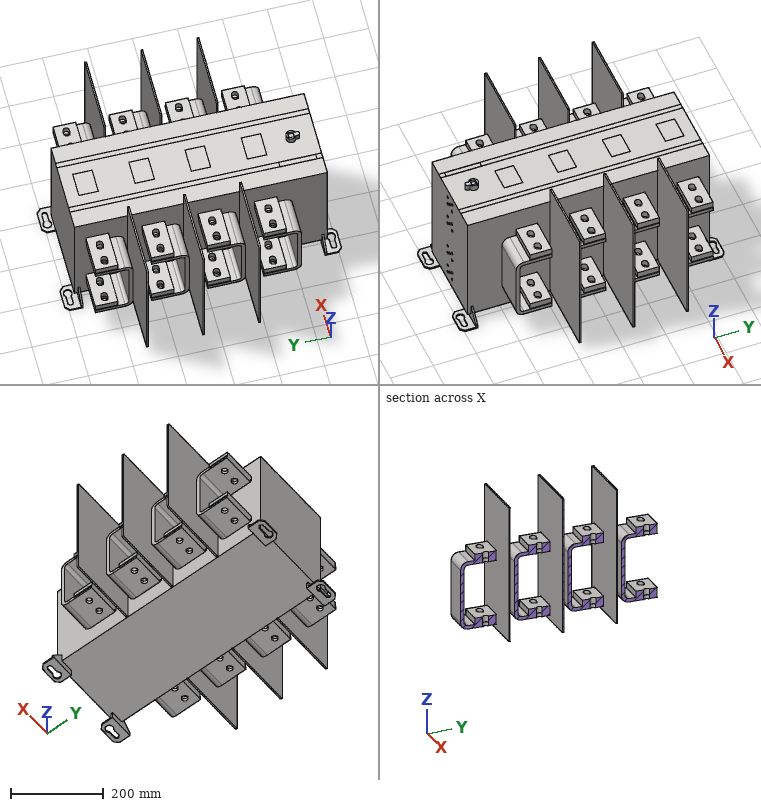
import cadquery as cq

total_length = 615.0
total_width = 546.0
total_height = 335.0

body_width = 205.5
body_length = 563.0
body_bottom = 19.0
body_top = 295.0

pole_count = 4
pole_pitch = 125.0
first_pole_y = -144.0
pole_ys = [first_pole_y + i * pole_pitch for i in range(pole_count)]

block_length = 50.5
block_height = 15.0
block_outer_x = 186.0
block_slot_length = 19.5
block_slot_x = [127.0, 166.5]
bolt_hole_diameter = 14.0
bolt_hole_x = [130.0, 163.5]
strap_outer_x = 187.5
strap_inner_x = 106.5
strap_bottom = 64.5
strap_top = 225.0
strap_thickness = 9.0
strap_reach = 83.5
strap_outer_radius = 18.0

barrier_thickness = 3.5
barrier_offset = 56.0
barrier_corner = 3.5

foot_inner_x = 71.0
foot_outer_x = 131.0
foot_thickness = 4.0
foot_leg_inner_y = 269.0
foot_leg_top = 41.0
foot_edge_height = 10.0
foot_corner = 9.0
keyhole_x = 90.0
keyhole_y = 293.0
keyhole_diameter = 18.5
keyhole_slot_end_x = 120.0
keyhole_slot_width = 11.5

shaft_y = -226.5
shaft_diameter = 21.5
shaft_top = 310.0
pointer_tip_y = -245.5
pointer_width = 10.0
socket_width = 13.0
socket_length = 11.5
socket_depth = 6.0

mark_depth = 0.5
window_width = 55.0
window_length = 43.0
rail_inner_x = 51.5
rail_outer_x = 63.5
label_ends_y = (-268.0, -186.0)
label_depth = 1.0

pin_width = 5.0
pin_height = 3.0
pin_depth = 3.5
pin_offset_x = 12.0
pin_offset_z = 10.5
pin_group_zs = [51.5, 111.5, 202.5, 262.0]


def box(x_range, y_range, z_range):
    """Axis-aligned box between the given pairs of coordinates."""
    (x0, x1), (y0, y1), (z0, z1) = x_range, y_range, z_range
    return cq.Workplane("XY").box(x1 - x0, y1 - y0, z1 - z0, centered=False).translate((x0, y0, z0))


def on_both_sides(solid):
    """The solid together with its mirror image across the YZ plane."""
    return solid.union(solid.mirror("YZ"))


def make_body():
    """Plain rectangular housing."""
    return box(
        (-body_width / 2, body_width / 2), (-body_length / 2, body_length / 2), (body_bottom, body_top)
    )


def make_strap(back_y):
    """U-shaped strap whose open ends lie at back_y and whose web faces -Y."""
    front_y = back_y - strap_reach
    inner_radius = strap_outer_radius - strap_thickness
    outer = box(
        (strap_inner_x, strap_outer_x), (front_y, back_y + strap_reach), (strap_bottom, strap_top)
    ).edges("|X").fillet(strap_outer_radius)
    inner = box(
        (strap_inner_x, strap_outer_x),
        (front_y + strap_thickness, back_y + strap_reach - strap_thickness),
        (strap_bottom + strap_thickness, strap_top - strap_thickness),
    ).edges("|X").fillet(inner_radius)
    front_half = box((strap_inner_x, strap_outer_x), (front_y, back_y), (strap_bottom, strap_top))
    return outer.cut(inner).intersect(front_half)


def make_terminal(pole_y):
    """Upper and lower terminal blocks of one pole joined by their strap, on both sides of the body."""
    back_y = pole_y + block_length / 2
    strap_holes = (
        cq.Workplane("XY")
        .pushPoints([(x, pole_y) for x in bolt_hole_x])
        .circle(bolt_hole_diameter / 2)
        .extrude(total_height)
    )
    block_slots = (
        cq.Workplane("XY")
        .pushPoints([(x, pole_y) for x in block_slot_x])
        .slot2D(block_slot_length, bolt_hole_diameter)
        .extrude(total_height)
    )
    terminal = make_strap(back_y).cut(strap_holes)
    for block_bottom in (strap_bottom + strap_thickness, strap_top):
        block = box(
            (body_width / 2, block_outer_x),
            (pole_y - block_length / 2, back_y),
            (block_bottom, block_bottom + block_height),
        )
        terminal = terminal.union(block.cut(block_slots))
    return on_both_sides(terminal)


def make_barrier(y):
    """Pair of thin insulating plates with rounded corners, one on each side of the body."""
    plate = box(
        (body_width / 2, total_width / 2),
        (y - barrier_thickness / 2, y + barrier_thickness / 2),
        (body_bottom, total_height),
    ).edges("|Y").fillet(barrier_corner)
    return on_both_sides(plate)


def make_foot():
    """Angle bracket with a gusseted leg and a keyhole slot, at the +X +Y corner."""
    end_y = total_length / 2
    plate = (
        box((foot_inner_x, foot_outer_x), (foot_leg_inner_y, end_y), (0, foot_thickness))
        .edges("|Z and >Y")
        .chamfer(foot_corner)
    )
    leg = (
        cq.Workplane("XZ", origin=(0, foot_leg_inner_y, 0))
        .moveTo(foot_inner_x, 0)
        .lineTo(foot_outer_x, 0)
        .lineTo(foot_outer_x, foot_edge_height)
        .lineTo(body_width / 2, foot_leg_top)
        .lineTo(foot_inner_x, foot_leg_top)
        .close()
        .extrude(-foot_thickness)
    )
    hole = (
        cq.Workplane("XY")
        .center(keyhole_x, keyhole_y)
        .circle(keyhole_diameter / 2)
        .extrude(foot_thickness)
    )
    slot_length = keyhole_slot_end_x - keyhole_x + keyhole_slot_width / 2
    slot = (
        cq.Workplane("XY")
        .center(keyhole_slot_end_x - slot_length / 2, keyhole_y)
        .slot2D(slot_length, keyhole_slot_width)
        .extrude(foot_thickness)
    )
    return plate.union(leg).cut(hole).cut(slot)


def make_shaft():
    """Round shaft end with a rounded pointer towards -Y and a rectangular socket in its top."""
    height = shaft_top - body_top
    top = cq.Workplane("XY", origin=(0, shaft_y, body_top))
    shaft = top.circle(shaft_diameter / 2).extrude(height)
    tip_centre_y = pointer_tip_y + pointer_width / 2
    pointer = box(
        (-pointer_width / 2, pointer_width / 2), (tip_centre_y, shaft_y), (body_top, shaft_top)
    ).union(
        cq.Workplane("XY", origin=(0, tip_centre_y, body_top)).circle(pointer_width / 2).extrude(height)
    )
    socket = (
        cq.Workplane("XY", origin=(0, shaft_y, shaft_top))
        .rect(socket_width, socket_length)
        .extrude(-socket_depth)
    )
    return shaft.union(pointer).cut(socket)


def make_top_marks():
    """Shallow recesses of the pole windows and of the two long rails in the top face.

    The -X rail holds a slightly deeper label recess near its -Y end.
    """
    depth_range = (body_top - mark_depth, body_top)
    end_y = body_length / 2
    marks = (
        cq.Workplane("XY", origin=(0, 0, body_top))
        .pushPoints([(0, y) for y in pole_ys])
        .rect(window_width, window_length)
        .extrude(-mark_depth)
    )
    rail = box((rail_inner_x, rail_outer_x), (-end_y, end_y), depth_range)
    label = box((-rail_outer_x, -rail_inner_x), label_ends_y, (body_top - label_depth, body_top))
    return marks.union(on_both_sides(rail)).union(label)


def make_pins():
    """Groups of five rectangular sockets, one at the centre and four at the corners."""
    points = []
    for z in pin_group_zs:
        points.append((0, z))
        for side_x in (-pin_offset_x, pin_offset_x):
            for side_z in (-pin_offset_z, pin_offset_z):
                points.append((side_x, z + side_z))
    return (
        cq.Workplane("XZ", origin=(0, -body_length / 2, 0))
        .pushPoints(points)
        .rect(pin_width, pin_height)
        .extrude(-pin_depth)
    )


result = make_body().cut(make_top_marks()).cut(make_pins()).union(make_shaft())

for pole_y in pole_ys:
    result = result.union(make_terminal(pole_y))

for pole_y in pole_ys[:-1]:
    result = result.union(make_barrier(pole_y + barrier_offset))

feet = on_both_sides(make_foot())
result = result.union(feet).union(feet.mirror("XZ"))